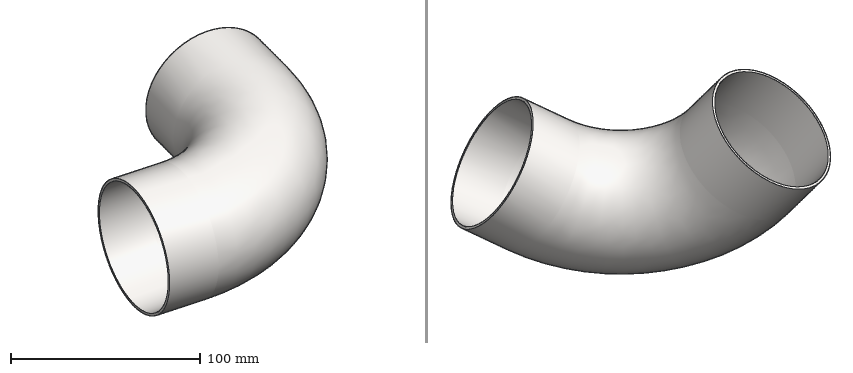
import cadquery as cq
import math

overall_length = 144.3
outer_diameter = 76.2
inner_diameter = 73.2
bend_radius = outer_diameter
collar_length = overall_length - bend_radius - outer_diameter / 2

diagonal = bend_radius * math.cos(math.radians(45))
centreline = (
    cq.Workplane("XY")
    .moveTo(-collar_length, bend_radius)
    .lineTo(0, bend_radius)
    .threePointArc((diagonal, diagonal), (bend_radius, 0))
    .lineTo(bend_radius, -collar_length)
)

result = (
    cq.Workplane("YZ", origin=(-collar_length, bend_radius, 0))
    .circle(outer_diameter / 2)
    .circle(inner_diameter / 2)
    .sweep(centreline)
)